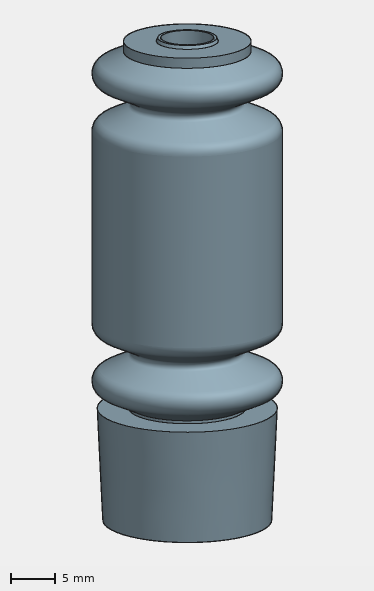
import cadquery as cq
import math

total_height = 56.35
outer_radius = 21.5 / 2
bore_diameter = 6.0

flank_angle = math.radians(25)
crest_radius = 1.45
neck_round = 0.55
half_pitch = 3.4
upper_ring_z = 52.2
lower_ring_z = 16.3

flange_radius = 14.4 / 2
flange_top_z = 56.0
rim_base_radius = 3.5
rim_top_radius = 3.3

base_height = 13.1
base_top_radius = 10.15
base_bottom_radius = 9.5
port_diameter = 8.5
port_z = 8.25

sin_flank = math.sin(flank_angle)
cos_flank = math.cos(flank_angle)
crest_center_r = outer_radius - crest_radius
crest_tangent_r = crest_center_r + crest_radius * sin_flank
crest_tangent_dz = crest_radius * cos_flank
neck_tangent_dz = neck_round * cos_flank
flank_rise = half_pitch - crest_tangent_dz - neck_tangent_dz
neck_tangent_r = crest_tangent_r - flank_rise / math.tan(flank_angle)
neck_radius = neck_tangent_r - neck_round * (1 - sin_flank)
flange_bottom_z = upper_ring_z + crest_tangent_dz + (crest_tangent_r - flange_radius) * math.tan(flank_angle)


def add_ring(profile, z):
    """Flank up to a full rounded ring centred at height z."""
    return (
        profile.lineTo(crest_tangent_r, z - crest_tangent_dz)
        .threePointArc((outer_radius, z), (crest_tangent_r, z + crest_tangent_dz))
    )


def add_neck(profile, z):
    """Flank up to a concave neck centred at height z."""
    return (
        profile.lineTo(neck_tangent_r, z - neck_tangent_dz)
        .threePointArc((neck_radius, z), (neck_tangent_r, z + neck_tangent_dz))
    )


def add_body(profile, bottom_z, top_z):
    """Flank up to the straight cylinder with a rounded shoulder at each end."""
    half_turn = (math.pi / 2 - flank_angle) / 2
    mid_r = crest_center_r + crest_radius * math.cos(half_turn)
    mid_dz = crest_radius * math.sin(half_turn)
    return (
        profile.lineTo(crest_tangent_r, bottom_z - crest_tangent_dz)
        .threePointArc((mid_r, bottom_z - mid_dz), (outer_radius, bottom_z))
        .lineTo(outer_radius, top_z)
        .threePointArc((mid_r, top_z + mid_dz), (crest_tangent_r, top_z + crest_tangent_dz))
    )


profile = (
    cq.Workplane("XZ")
    .lineTo(base_bottom_radius, 0)
    .lineTo(base_top_radius, base_height)
    .lineTo(neck_tangent_r, base_height)
    .lineTo(neck_tangent_r, lower_ring_z - half_pitch + neck_tangent_dz)
)
profile = add_ring(profile, lower_ring_z)
profile = add_neck(profile, lower_ring_z + half_pitch)
profile = add_body(profile, lower_ring_z + 2 * half_pitch, upper_ring_z - 2 * half_pitch)
profile = add_neck(profile, upper_ring_z - half_pitch)
profile = add_ring(profile, upper_ring_z)
profile = (
    profile.lineTo(flange_radius, flange_bottom_z)
    .lineTo(flange_radius, flange_top_z)
    .lineTo(rim_base_radius, flange_top_z)
    .lineTo(rim_top_radius, total_height)
    .lineTo(0, total_height)
    .close()
)
turned_part = profile.revolve(360, (0, 0, 0), (0, 1, 0))

bore = cq.Workplane("XY").circle(bore_diameter / 2).extrude(total_height)

port = cq.Workplane("XZ").center(0, port_z).circle(port_diameter / 2).extrude(-outer_radius)

result = turned_part.cut(bore).cut(port)